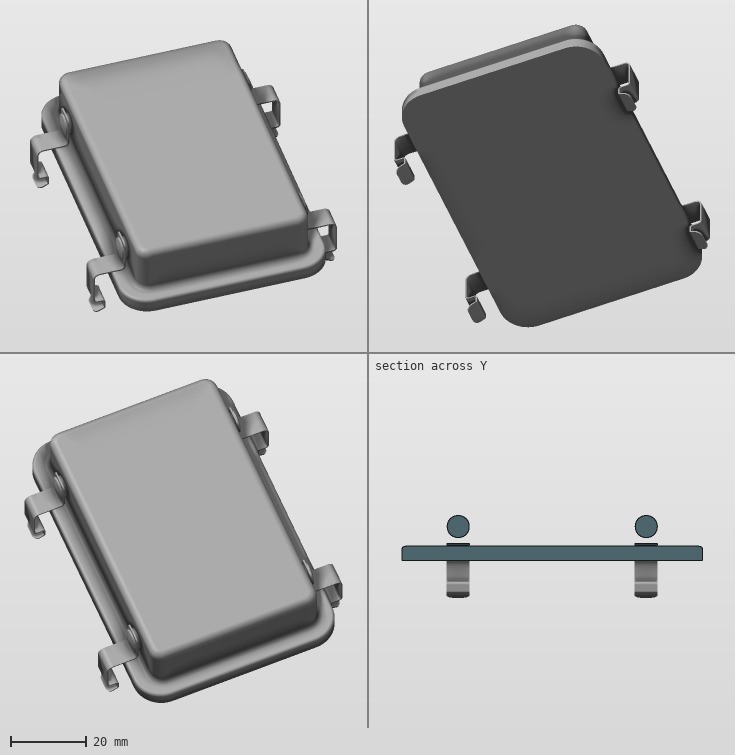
import cadquery as cq
import math

FLANGE_LENGTH = 83.2
FLANGE_WIDTH = 57.3
FLANGE_HEIGHT = 3.9
FLANGE_CORNER = 7.9
FLANGE_EDGE_FILLET = 0.8

COVER_LENGTH = 74.0
COVER_WIDTH = 47.95
COVER_TOP = 17.0
COVER_CORNER = 3.4
COVER_EDGE_FILLET = 2.0
COVER_FOOT_FILLET = 1.4

CLIP_X = 25.0
CLIP_WIDTH = 6.2
CLIP_THICKNESS = 0.4
CLIP_SPAN = 67.8
CLIP_TOP = 12.9
CLIP_BOTTOM = -9.9
CLIP_TOP_CORNER = 1.2
CLIP_LIP_CORNER = 1.7
PLATE_GAP = 0.9
HOOK_Z = -5.75
HOOK_DEPTH = 3.0
LIP_REACH = 2.9
LIP_SLOPE = 26.0

FOOT_BEND = 1.2
SHOULDER_BEND = 1.7
LEG_BEND = 0.8
HOOK_BEND = 0.7
LIP_BEND = 0.25

RIVET_Z = 9.1
RIVET_DIAMETER = 6.0
RIVET_RIM = 0.5
RIVET_DOME = 0.6
RIVET_TIP_RADIUS = 0.3
RIVET_EMBED = 0.4

half_thickness = CLIP_THICKNESS / 2
cover_face = COVER_WIDTH / 2
plate_y = cover_face + PLATE_GAP + half_thickness
leg_y = CLIP_SPAN / 2 - half_thickness
hook_y = leg_y - HOOK_DEPTH


def make_cover():
    """Flange with the raised, rounded cover on top of it."""
    flange = (
        cq.Workplane("XY")
        .rect(FLANGE_LENGTH, FLANGE_WIDTH)
        .extrude(FLANGE_HEIGHT)
        .edges("|Z")
        .fillet(FLANGE_CORNER)
        .faces(">Z")
        .edges()
        .fillet(FLANGE_EDGE_FILLET)
    )
    raised = (
        cq.Workplane("XY")
        .rect(COVER_LENGTH, COVER_WIDTH)
        .extrude(COVER_TOP)
        .edges("|Z")
        .fillet(COVER_CORNER)
        .faces(">Z")
        .edges()
        .fillet(COVER_EDGE_FILLET)
    )
    margin = FLANGE_EDGE_FILLET / 2
    half_length = COVER_LENGTH / 2 + margin
    half_width = COVER_WIDTH / 2 + margin
    foot = cq.selectors.BoxSelector(
        (-half_length, -half_width, FLANGE_HEIGHT - margin),
        (half_length, half_width, FLANGE_HEIGHT + margin),
    )
    return flange.union(raised).edges(foot).fillet(COVER_FOOT_FILLET)


def make_clip():
    """Bent strip on the +Y side, centred on X = 0."""
    slope = math.radians(LIP_SLOPE)
    tip_z = CLIP_BOTTOM + half_thickness * math.cos(slope)
    tip_y = hook_y + LIP_REACH
    lip_top = tip_z + LIP_REACH * math.tan(slope)
    shelf_z = FLANGE_HEIGHT + half_thickness
    ends = [(plate_y, CLIP_TOP), (tip_y, tip_z)]
    bends = [
        (plate_y, shelf_z, FOOT_BEND),
        (leg_y, shelf_z, SHOULDER_BEND),
        (leg_y, HOOK_Z, LEG_BEND),
        (hook_y, HOOK_Z, HOOK_BEND),
        (hook_y, lip_top, LIP_BEND),
    ]
    points = [ends[0]] + [(y, z) for y, z, _ in bends] + [ends[1]]
    path = cq.Wire.makePolygon([cq.Vector(0, y, z) for y, z in points])
    for y, z, bend_radius in bends:
        corner = cq.Vector(0, y, z)
        vertex = min(path.Vertices(), key=lambda v: (v.Center() - corner).Length)
        path = path.fillet(bend_radius, [vertex])
    strip = (
        cq.Workplane("XY", origin=(0, plate_y, CLIP_TOP))
        .rect(CLIP_WIDTH, CLIP_THICKNESS)
        .sweep(cq.Workplane("XY").add(path))
    )
    strip = strip.faces(">Z").edges("|Y").fillet(CLIP_TOP_CORNER)
    lip_direction = cq.Vector(0, math.cos(slope), -math.sin(slope))
    lip_end = strip.faces(cq.selectors.ParallelDirSelector(lip_direction))
    through_strip = cq.selectors.PerpendicularDirSelector(cq.Vector(1, 0, 0))
    return lip_end.edges(through_strip).fillet(CLIP_LIP_CORNER)


def make_rivet():
    """Spacer, shank and domed head on the +Y side, centred on X = 0."""
    radius = RIVET_DIAMETER / 2
    root_y = cover_face - RIVET_EMBED
    rim_y = plate_y + half_thickness + RIVET_RIM
    dome_radius = (radius**2 + RIVET_DOME**2) / (2 * RIVET_DOME)
    dome_center_y = rim_y + RIVET_DOME - dome_radius

    def dome_point(r):
        return (r, dome_center_y + math.sqrt(dome_radius**2 - r**2))

    tip = dome_point(RIVET_TIP_RADIUS)
    return (
        cq.Workplane("XY", origin=(0, 0, RIVET_Z))
        .moveTo(0, root_y)
        .lineTo(radius, root_y)
        .lineTo(radius, rim_y)
        .threePointArc(dome_point(radius / 2), tip)
        .lineTo(0, tip[1])
        .close()
        .revolve(360, (0, 0, 0), (0, 1, 0))
    )


result = make_cover()
clip = make_clip().union(make_rivet())
for x in (-CLIP_X, CLIP_X):
    placed = clip.translate((x, 0, 0))
    result = result.union(placed).union(placed.mirror("XZ"))